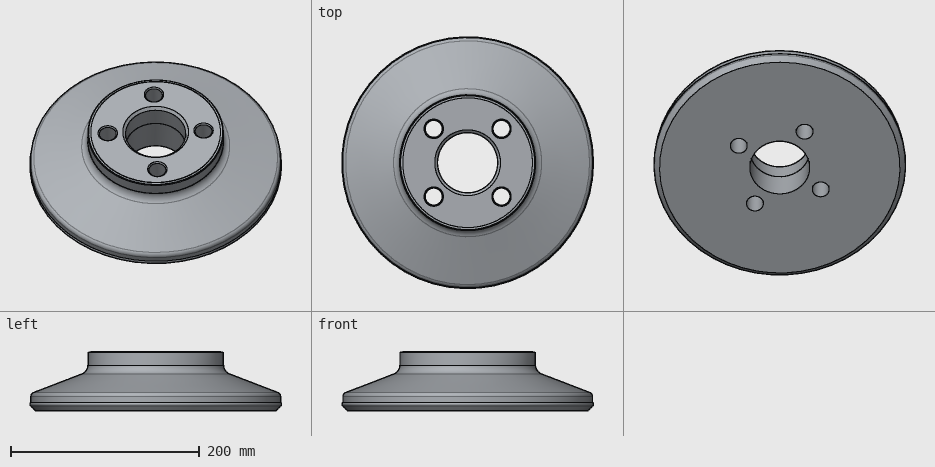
import cadquery as cq
import math

rim_radius = 133.5
rim_chamfer = 6.1
rim_round = 2.5
rim_land_radius = 265.0 / 2
cone_angle = 21.0
cone_base_radius = 129.0
cone_base_height = 19.7
shoulder_start = 15.2
cone_top_radius = 78.5
neck_radius = 144.0 / 2
neck_top = 48.3
flange_bore_diameter = 63.5

overall_height = 63.0
hub_diameter = 143.5
hub_shoulder_height = 62.5
hub_edge_chamfer = 0.8
spigot_diameter = 137.5
spigot_bottom = 38.0
hub_bore_diameter = 63.8
hub_bore_chamfer = 3.0

bolt_hole_diameter = 18.0
bolt_hole_chamfer = 1.3
bolt_spacing = 71.8


def cylinder(diameter, bottom, top):
    """Solid cylinder on the Z axis between two heights."""
    return cq.Workplane("XY").workplane(offset=bottom).circle(diameter / 2).extrude(top - bottom)


def bolt_holes():
    """Four cutting cylinders over the full height."""
    return (
        cq.Workplane("XY")
        .rect(bolt_spacing, bolt_spacing, forConstruction=True)
        .vertices()
        .circle(bolt_hole_diameter / 2)
        .extrude(overall_height)
    )


def arc_midpoint(start, end, bulge):
    """Point off the middle of a chord, to the left of travel by the bulge height."""
    dx = end[0] - start[0]
    dz = end[1] - start[1]
    chord = math.hypot(dx, dz)
    return ((start[0] + end[0]) / 2 - bulge * dz / chord, (start[1] + end[1]) / 2 + bulge * dx / chord)


def blend_bulge(start, end):
    """Height of the arc that turns between a vertical wall and the conical face."""
    turn = math.radians(90 - cone_angle)
    return math.dist(start, end) / 2 * math.tan(turn / 4)


def make_flange():
    bevel_start_radius = rim_radius - rim_chamfer
    rim_centre_radius = rim_radius - rim_round
    diagonal = rim_round * math.sqrt(0.5)
    rim_low_radius = rim_centre_radius + diagonal
    rim_low = (rim_low_radius, rim_low_radius - bevel_start_radius)
    rim_centre_height = rim_low[1] + diagonal
    rim_middle = (rim_radius, rim_centre_height)
    rim_rise = math.sqrt(rim_round**2 - (rim_land_radius - rim_centre_radius) ** 2)
    rim_high = (rim_land_radius, rim_centre_height + rim_rise)

    cone_rise = (cone_base_radius - cone_top_radius) * math.tan(math.radians(cone_angle))
    shoulder_low = (rim_land_radius, shoulder_start)
    cone_low = (cone_base_radius, cone_base_height)
    cone_high = (cone_top_radius, cone_base_height + cone_rise)
    neck_high = (neck_radius, neck_top)
    shoulder_middle = arc_midpoint(shoulder_low, cone_low, -blend_bulge(shoulder_low, cone_low))
    neck_middle = arc_midpoint(cone_high, neck_high, blend_bulge(cone_high, neck_high))
    blank = (
        cq.Workplane("XZ")
        .moveTo(0, 0)
        .lineTo(bevel_start_radius, 0)
        .lineTo(*rim_low)
        .threePointArc(rim_middle, rim_high)
        .lineTo(*shoulder_low)
        .threePointArc(shoulder_middle, cone_low)
        .lineTo(*cone_high)
        .threePointArc(neck_middle, neck_high)
        .lineTo(0, neck_top)
        .close()
        .revolve(360, (0, 0, 0), (0, 1, 0))
    )
    recess = cylinder(spigot_diameter, spigot_bottom, neck_top)
    bore = cylinder(flange_bore_diameter, 0, neck_top)
    return blank.cut(recess).cut(bore).cut(bolt_holes())


def countersink(x, y, hole_diameter, chamfer):
    """Cutting cone that breaks the top edge of a hole at 45 degrees."""
    return (
        cq.Workplane("XY")
        .workplane(offset=overall_height)
        .center(x, y)
        .circle(hole_diameter / 2 + chamfer)
        .extrude(-chamfer, taper=45)
    )


def make_hub():
    spigots = cylinder(spigot_diameter, spigot_bottom, overall_height)
    plate = cylinder(hub_diameter, neck_top, hub_shoulder_height).faces(">Z").chamfer(hub_edge_chamfer)
    bore = cylinder(hub_bore_diameter, spigot_bottom, overall_height)
    hub = spigots.union(plate).cut(bore).cut(bolt_holes())
    hub = hub.cut(countersink(0, 0, hub_bore_diameter, hub_bore_chamfer))
    for x in (-bolt_spacing / 2, bolt_spacing / 2):
        for y in (-bolt_spacing / 2, bolt_spacing / 2):
            hub = hub.cut(countersink(x, y, bolt_hole_diameter, bolt_hole_chamfer))
    return hub


flange = make_flange()
hub = make_hub()

result = cq.Compound.makeCompound([flange.val(), hub.val()])